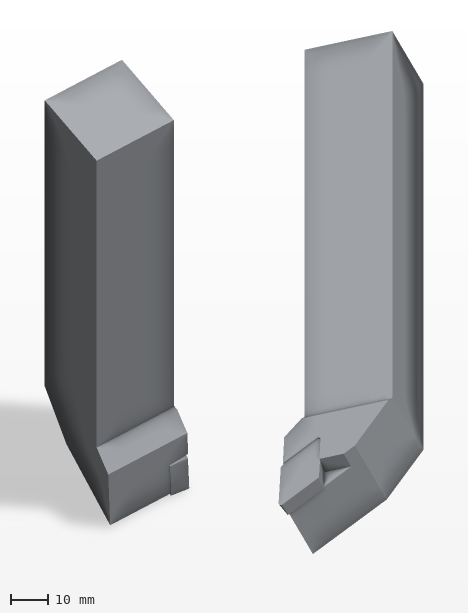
import cadquery as cq
import math

total_length = 151.4
shank_size = 25.0

heel_top_z = 28.3
heel_x = 10.5
heel_z = 14.2
shoulder_z = 27.8
nose_x = 30.5
nose_z = 22.1
tip_x = 31.5
tip_z = 1.2

pad_rise = 0.6
pad_full_z = 27.1
pad_start_z = 28.0
pad_y = shank_size + pad_rise

seat_y = 19.5
seat_top_z = 12.3

insert_reach_x = 32.4
insert_top_y = 25.0
insert_corner_radius = 0.8
insert_corner_span = 11.8
insert_angle = 55.0
insert_lean = 3.0
insert_flank_angle = 6.0
insert_thickness = insert_top_y - seat_y


def at_y(y):
    """Workplane facing +Y; its local coordinates are (-X, Z)."""
    return cq.Workplane(cq.Plane(origin=(0, y, 0), xDir=(-1, 0, 0), normal=(0, 1, 0)))


def insert_outline():
    """Rounded rhombus: its four corner centres grown by the corner radius."""
    side_lean = math.radians(insert_lean)
    base_lean = math.radians(insert_lean + insert_angle)
    side_x = insert_corner_span * math.sin(side_lean)
    side_z = insert_corner_span * math.cos(side_lean)
    base_x = insert_corner_span * math.sin(base_lean)
    base_z = insert_corner_span * math.cos(base_lean)
    x = insert_reach_x - insert_corner_radius
    z = insert_corner_radius
    corner_centres = [
        (-x, z),
        (-(x - side_x), z + side_z),
        (-(x - side_x - base_x), z + side_z + base_z),
        (-(x - base_x), z + base_z),
    ]
    return at_y(insert_top_y).polyline(corner_centres).close().offset2D(insert_corner_radius)


def make_insert():
    return insert_outline().extrude(-insert_thickness, taper=insert_flank_angle)


def make_holder(insert):
    outline = [
        (0, total_length),
        (0, heel_top_z),
        (heel_x, heel_z),
        (tip_x, tip_z),
        (nose_x, nose_z),
        (shank_size, shoulder_z),
        (shank_size, total_length),
    ]
    blank = at_y(0).polyline([(-x, z) for x, z in outline]).close().extrude(pad_y)

    shank_relief = (
        cq.Workplane("YZ")
        .polyline([
            (pad_y, pad_full_z),
            (shank_size, pad_start_z),
            (shank_size, total_length),
            (pad_y, total_length),
        ])
        .close()
        .extrude(insert_reach_x)
    )

    seat = cq.Workplane("XY").box(
        insert_reach_x, pad_y - seat_y, seat_top_z, centered=False
    ).translate((0, seat_y, 0))

    recess_mouth = insert_outline().extrude(pad_y - insert_top_y)
    return blank.cut(shank_relief).cut(seat).cut(insert).cut(recess_mouth)


insert = make_insert()
holder = make_holder(insert)

result = cq.Compound.makeCompound([holder.val(), insert.val()])